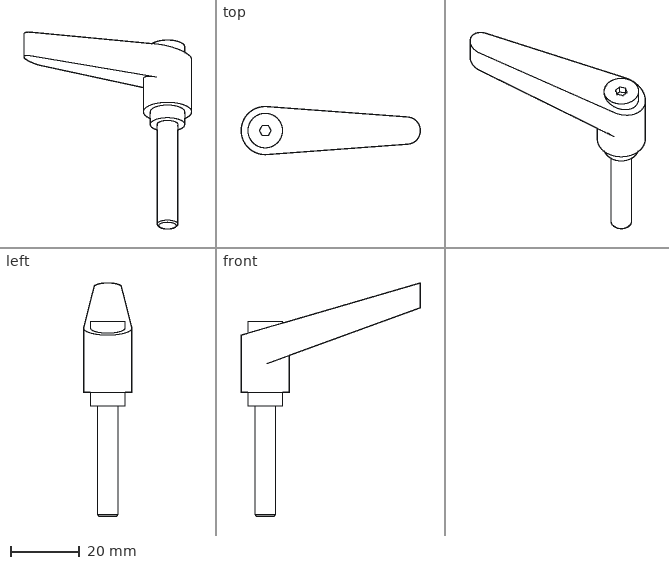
import cadquery as cq
import math

stud_diameter = 6.0
stud_chamfer = 0.5
collar_diameter = 10.0
collar_bottom = 31.95
hub_diameter = 14.0
hub_bottom = 35.95
hub_left_top = 52.5
screw_top = 56.5
hex_across_flats = 3.0
hex_depth = 2.0
drill_point_angle = 120

total_height = 67.7
total_length = 52.0
tip_radius = 4.0
tip_underside = 60.45
arm_root_underside = 44.3

hub_radius = hub_diameter / 2
tip_end = total_length - hub_radius
tip_center = tip_end - tip_radius

tangent_cos = (hub_radius - tip_radius) / tip_center
tangent_sin = math.sqrt(1 - tangent_cos**2)
hub_tangent = (hub_radius * tangent_cos, hub_radius * tangent_sin)
tip_tangent = (tip_center + tip_radius * tangent_cos, tip_radius * tangent_sin)


def cylinder(diameter, bottom, top):
    return cq.Workplane("XY", origin=(0, 0, bottom)).circle(diameter / 2).extrude(top - bottom)


def side_profile(points):
    """Extrude an XZ outline across the full width of the hub."""
    return cq.Workplane("XZ").polyline(points).close().extrude(hub_radius, both=True)


def make_hub():
    """Round hub, cut by the sloping plane of the arm's top face."""
    envelope = side_profile([
        (-hub_radius, hub_bottom),
        (tip_end, hub_bottom),
        (tip_end, total_height),
        (-hub_radius, hub_left_top),
    ])
    return cylinder(hub_diameter, hub_bottom, total_height).intersect(envelope)


def make_arm():
    """Tapered plan outline, limited by the sloping top and underside."""
    plan = (
        cq.Workplane("XY")
        .moveTo(*hub_tangent)
        .lineTo(*tip_tangent)
        .threePointArc((tip_end, 0), (tip_tangent[0], -tip_tangent[1]))
        .lineTo(hub_tangent[0], -hub_tangent[1])
        .threePointArc((-hub_radius, 0), hub_tangent)
        .close()
        .extrude(total_height)
    )
    root_x = hub_tangent[0]
    top_slope = (total_height - hub_left_top) / total_length
    root_top = hub_left_top + top_slope * (root_x + hub_radius)
    profile = side_profile([
        (root_x, arm_root_underside),
        (tip_end, tip_underside),
        (tip_end, total_height),
        (root_x, root_top),
    ])
    return plan.intersect(profile)


def make_hex_socket():
    """Hexagonal socket whose floor is a drill-point cone."""
    hex_across_corners = hex_across_flats / math.cos(math.pi / 6)
    corner_radius = hex_across_corners / 2
    cone_base = screw_top - hex_depth
    cone_tip = cone_base - corner_radius / math.tan(math.radians(drill_point_angle / 2))
    hexagon = (
        cq.Workplane("XY", origin=(0, 0, cone_tip))
        .polygon(6, hex_across_corners)
        .extrude(screw_top - cone_tip)
    )
    drilled_hole = (
        cq.Workplane("XZ")
        .polyline([(0, cone_tip), (corner_radius, cone_base), (corner_radius, screw_top), (0, screw_top)])
        .close()
        .revolve(360, (0, 0), (0, 1))
    )
    return hexagon.intersect(drilled_hole)


stud = cylinder(stud_diameter, 0, collar_bottom).faces("<Z").chamfer(stud_chamfer)
core = cylinder(collar_diameter, collar_bottom, screw_top)

result = make_hub().union(make_arm()).union(core).union(stud).cut(make_hex_socket())